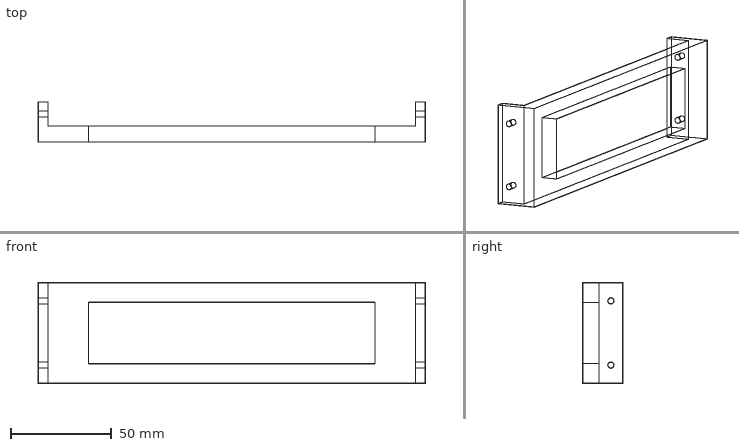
import cadquery as cq

length = 192.5
depth = 20.0
height = 50.0
plate_thickness = 8.0
leg_thickness = 5.0

window_side_margin = 25.0
window_edge_margin = 9.8

hole_diameter = 2.9
hole_from_rear = 6.0
hole_spacing = 32.0

window_length = length - 2 * window_side_margin
window_height = height - 2 * window_edge_margin
hole_y = depth - hole_from_rear


def block(x_size, y_size, z_size):
    """Box centred in X and Z, with its front face at Y = 0."""
    return cq.Workplane("XY").box(x_size, y_size, z_size, centered=(True, False, True))


rear_space = block(length - 2 * leg_thickness, depth - plate_thickness, height)
body = block(length, depth, height).cut(rear_space.translate((0, plate_thickness, 0)))

body = body.cut(block(window_length, plate_thickness, window_height))

screw_holes = (
    cq.Workplane("YZ", origin=(-length / 2, 0, 0))
    .pushPoints([(hole_y, -hole_spacing / 2), (hole_y, hole_spacing / 2)])
    .circle(hole_diameter / 2)
    .extrude(length)
)

result = body.cut(screw_holes)